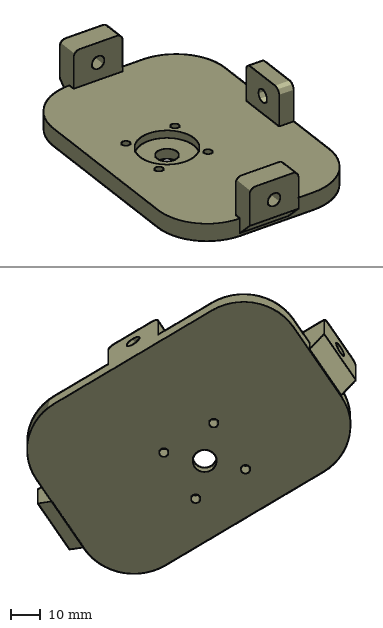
import cadquery as cq

overall_length = 115.0
plate_width = 70.0
overall_height = 22.0
plate_thickness = 7.0
corner_radius = 20.0
side_overhang = 5.9
plate_length = overall_length - 2 * side_overhang

tab_width = 20.0
side_tab_thickness = 8.5
back_tab_thickness = 6.0
tab_corner_radius = 2.5
tab_hole_diameter = 5.1
tab_hole_height = 2 * plate_thickness
side_tab_y = -5.1

recess_y = -10.0
recess_diameter = 22.0
recess_depth = 3.0
bore_diameter = 8.0
screw_hole_diameter = 3.1
screw_spacing = 20.0


def make_plate():
    return (
        cq.Workplane("XY")
        .box(plate_length, plate_width, plate_thickness, centered=(True, True, False))
        .edges("|Z")
        .fillet(corner_radius)
    )


def make_left_tab():
    """Tab over the -X edge; its overhang tapers at 45 degrees into the plate side."""
    outer_x = -overall_length / 2
    inner_x = outer_x + side_tab_thickness
    edge_x = -plate_length / 2
    taper_bottom = plate_thickness - side_overhang
    profile = [
        (outer_x, overall_height),
        (outer_x, plate_thickness),
        (edge_x, taper_bottom),
        (inner_x, taper_bottom),
        (inner_x, overall_height),
    ]
    tab = (
        cq.Workplane("XZ", origin=(0, side_tab_y, 0))
        .polyline(profile)
        .close()
        .extrude(tab_width / 2, both=True)
        .edges("|X and >Z")
        .fillet(tab_corner_radius)
    )
    hole = (
        cq.Workplane("YZ", origin=(outer_x, side_tab_y, tab_hole_height))
        .circle(tab_hole_diameter / 2)
        .extrude(side_tab_thickness)
    )
    return tab.cut(hole)


def make_back_tab():
    """Tab standing on the plate, flush with the +Y edge."""
    back_y = plate_width / 2
    tab = (
        cq.Workplane("XY", origin=(0, back_y - back_tab_thickness / 2, 0))
        .box(tab_width, back_tab_thickness, overall_height, centered=(True, True, False))
        .edges("|Y and >Z")
        .fillet(tab_corner_radius)
    )
    hole = (
        cq.Workplane("XZ", origin=(0, back_y, tab_hole_height))
        .circle(tab_hole_diameter / 2)
        .extrude(back_tab_thickness)
    )
    return tab.cut(hole)


def cut_plate_holes(body):
    """Counterbored centre hole surrounded by four through screw holes."""
    top = cq.Workplane("XY", origin=(0, recess_y, plate_thickness))
    recess = top.circle(recess_diameter / 2).extrude(-recess_depth)
    bore = top.circle(bore_diameter / 2).extrude(-plate_thickness)
    screw_holes = (
        top.rect(screw_spacing, screw_spacing, forConstruction=True)
        .vertices()
        .circle(screw_hole_diameter / 2)
        .extrude(-plate_thickness)
    )
    return body.cut(recess).cut(bore).cut(screw_holes)


left_tab = make_left_tab()
right_tab = left_tab.mirror("YZ")
body = make_plate().union(left_tab).union(right_tab).union(make_back_tab())
result = cut_plate_holes(body)